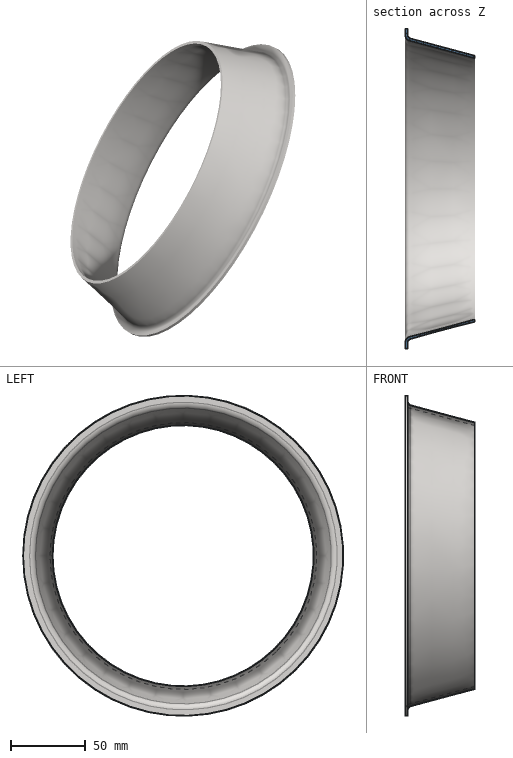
import cadquery as cq
import math

length = 46.7
flange_radius = 107.0
sheet = 2.0
bend_start_radius = 102.8
inner_bend = 4.0
outer_bend = inner_bend - sheet
taper = math.radians(15)


def bend_point(bend_radius, angle):
    """Point (x, radius) on a bend, with the angle measured from the flange normal."""
    return (
        inner_bend - bend_radius * math.cos(angle),
        bend_start_radius - bend_radius * math.sin(angle),
    )


def wall_end(wall_start):
    """Point where a tapered wall line reaches the small end of the ring."""
    x, radius = wall_start
    return (length, radius - (length - x) * math.tan(taper))


bend_angle = math.pi / 2 - taper
inner_wall_start = bend_point(inner_bend, bend_angle)
outer_wall_start = bend_point(outer_bend, bend_angle)

section = (
    cq.Workplane("XY")
    .moveTo(0, flange_radius)
    .lineTo(0, bend_start_radius)
    .threePointArc(bend_point(inner_bend, bend_angle / 2), inner_wall_start)
    .lineTo(*wall_end(inner_wall_start))
    .lineTo(*wall_end(outer_wall_start))
    .lineTo(*outer_wall_start)
    .threePointArc(bend_point(outer_bend, bend_angle / 2), (sheet, bend_start_radius))
    .lineTo(sheet, flange_radius)
    .close()
)

result = section.revolve(360, (0, 0, 0), (1, 0, 0))